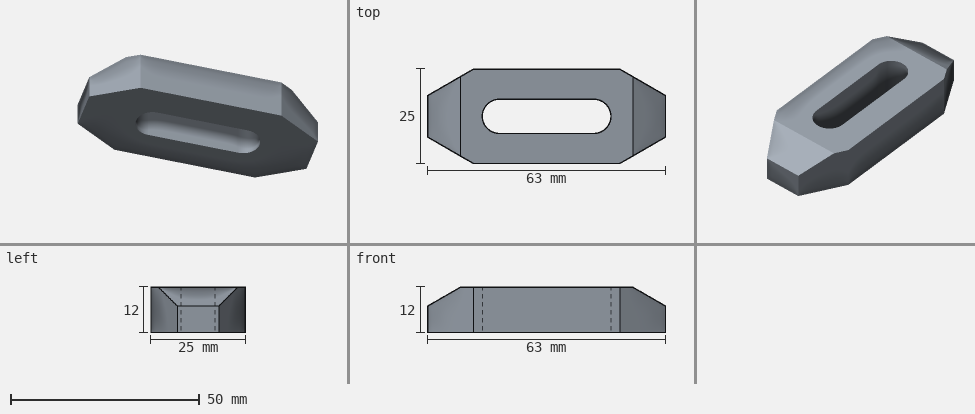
import cadquery as cq
import math

LENGTH = 63.0
WIDTH = 25.0
HEIGHT = 12.0

NOSE_WIDTH = 11.0
NOSE_HEIGHT = 7.0
TAPER_ANGLE = math.radians(30.0)
SIDE_TAPER_LENGTH = (WIDTH - NOSE_WIDTH) / 2 / math.tan(TAPER_ANGLE)
TOP_TAPER_LENGTH = (HEIGHT - NOSE_HEIGHT) / math.tan(TAPER_ANGLE)

SLOT_LENGTH = 34.0
SLOT_WIDTH = 9.0


def make_plan_body():
    """Full-height bar whose sides narrow towards both noses."""
    half_length = LENGTH / 2
    half_width = WIDTH / 2
    half_nose = NOSE_WIDTH / 2
    half_straight = half_length - SIDE_TAPER_LENGTH
    outline = [
        (-half_length, -half_nose),
        (-half_straight, -half_width),
        (half_straight, -half_width),
        (half_length, -half_nose),
        (half_length, half_nose),
        (half_straight, half_width),
        (-half_straight, half_width),
        (-half_length, half_nose),
    ]
    return cq.Workplane("XY").polyline(outline).close().extrude(HEIGHT)


def make_side_profile():
    """Full-width bar whose top slopes down towards both noses."""
    half_length = LENGTH / 2
    half_top = half_length - TOP_TAPER_LENGTH
    outline = [
        (-half_length, 0),
        (half_length, 0),
        (half_length, NOSE_HEIGHT),
        (half_top, HEIGHT),
        (-half_top, HEIGHT),
        (-half_length, NOSE_HEIGHT),
    ]
    return cq.Workplane("XZ").polyline(outline).close().extrude(WIDTH / 2, both=True)


def make_slot():
    """Round-ended slot running through the full height."""
    return cq.Workplane("XY").slot2D(SLOT_LENGTH, SLOT_WIDTH).extrude(HEIGHT)


result = make_plan_body().intersect(make_side_profile()).cut(make_slot())